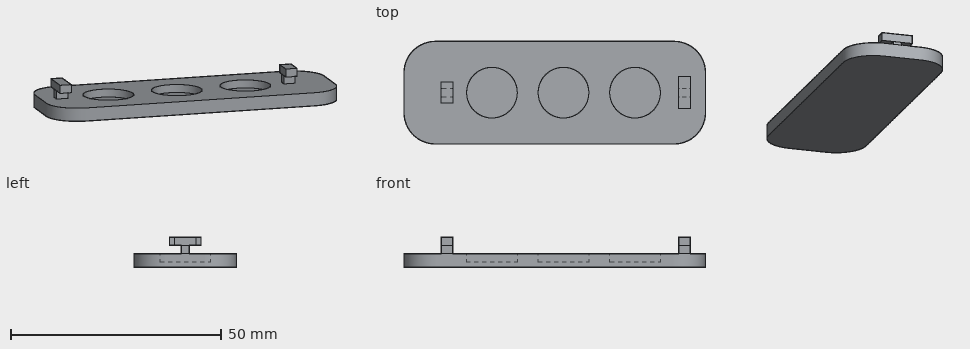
import cadquery as cq

plate_length = 71.8
plate_width = 24.5
plate_thickness = 3.2
corner_radius = 7.55

pocket_diameter = 12.05
pocket_depth = 1.95
pocket_spacing = 17.0
pocket_row_center_x = 2.1
pocket_count = 3

total_height = 7.2
stem_width = 2.0
catch_thickness = 2.8
stem_height = (total_height - plate_thickness) / 2
head_height = total_height - plate_thickness - stem_height
stem_top_z = plate_thickness + stem_height

short_catch = (-25.6, 5.0)
long_catch = (30.9, 7.6)


def make_plate():
    """Rounded plate with a row of blind pockets."""
    plate = (
        cq.Workplane("XY")
        .box(plate_length, plate_width, plate_thickness, centered=(True, True, False))
        .edges("|Z")
        .fillet(corner_radius)
    )
    first_pocket_x = pocket_row_center_x - pocket_spacing * (pocket_count - 1) / 2
    pocket_centers = [(first_pocket_x + i * pocket_spacing, 0) for i in range(pocket_count)]
    pockets = (
        cq.Workplane("XY")
        .workplane(offset=plate_thickness - pocket_depth)
        .pushPoints(pocket_centers)
        .circle(pocket_diameter / 2)
        .extrude(pocket_depth)
    )
    return plate.cut(pockets)


def make_block(center_x, width, bottom_z, height):
    """Rectangular block of catch thickness, centred on Y = 0."""
    return (
        cq.Workplane("XY")
        .box(catch_thickness, width, height, centered=(True, True, False))
        .translate((center_x, 0, bottom_z))
    )


def make_stem(center_x):
    """Stem standing on the plate."""
    return make_block(center_x, stem_width, plate_thickness, stem_height)


def make_head(center_x, head_width):
    """Crosspiece resting on a stem."""
    return make_block(center_x, head_width, stem_top_z, head_height)


plate = make_plate()
stems = []
heads = []
for catch_x, head_width in (short_catch, long_catch):
    stems.append(make_stem(catch_x).val())
    heads.append(make_head(catch_x, head_width).val())

result = cq.Compound.makeCompound([plate.val(), *stems, *heads])